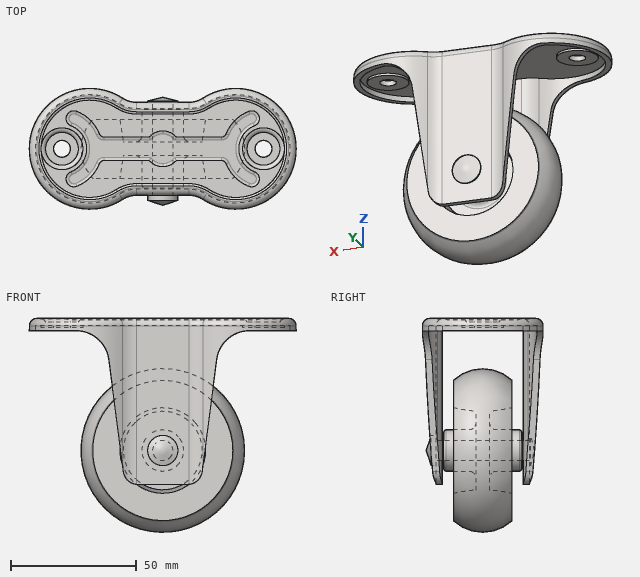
import cadquery as cq
import math

plate_top = 52.5
wheel_radius = 32.5

plate_length = 106.0
lobe_radius = 24.0
waist_half_width = 18.5
waist_blend = 10.0
sheet = 2.5
plate_thickness = 2.8
plate_edge_radius = 3.0
skirt_depth = 5.0
leg_depth = 66.0
leg_foot_half_width = 15.0
leg_taper = 7.4
leg_shoulder_radius = 13.0
leg_foot_radius = 6.0

panel_inset = 3.8
panel_wall_run = 0.9
panel_depth = 0.3

screw_x = 40.0
screw_hole_radius = 3.3
recess_floor_radius = 6.5
recess_rim_radius = 8.3
recess_depth = 1.2
dimple_depth = 3.7

groove_half_width = 4.65
groove_hub_radius = 7.1
groove_arm_inner = 9.8
groove_arm_outer = 16.0
groove_arm_angle = 68.5
groove_blend = 2.0
groove_wall_run = 1.2
groove_depth = 0.3

wheel_half_width = 11.7
tread_edge_radius = 28.1
tread_edge_chamfer = 0.3
hollow_rim_radius = 17.0
hollow_floor_radius = 15.6
hollow_depth = 9.0
hub_radius = 8.25
hub_half_width = 15.5
hub_edge_radius = 1.0
hub_root_radius = 2.7

axle_radius = 4.0
head_radius = 6.0
front_head_height = 2.0
front_cone_height = 2.0
back_head_height = 0.5
back_cone_height = 1.5

lobe_x = plate_length / 2 - lobe_radius
panel_floor = plate_top - panel_depth
plate_underside = plate_top - plate_thickness
leg_foot = plate_top - leg_depth
hollow_floor = wheel_half_width - hollow_depth


def dogbone(plane, inset):
    """Dogbone outline: two round lobes joined to a straight waist by concave arcs."""
    lobe = lobe_radius - inset
    waist = waist_half_width - inset
    blend = waist_blend + inset
    center_y = waist_half_width + waist_blend
    run = math.sqrt((lobe_radius + waist_blend) ** 2 - center_y ** 2)
    angle = math.atan2(center_y, run)
    center_x = lobe_x - run
    lobe_end_x = lobe_x - lobe * math.cos(angle)
    lobe_end_y = lobe * math.sin(angle)
    mid_angle = (angle + math.pi / 2) / 2
    mid_x = center_x + blend * math.cos(mid_angle)
    mid_y = center_y - blend * math.sin(mid_angle)
    tip = lobe_x + lobe
    return (
        plane.moveTo(-center_x, waist)
        .lineTo(center_x, waist)
        .threePointArc((mid_x, mid_y), (lobe_end_x, lobe_end_y))
        .threePointArc((tip, 0), (lobe_end_x, -lobe_end_y))
        .threePointArc((mid_x, -mid_y), (center_x, -waist))
        .lineTo(-center_x, -waist)
        .threePointArc((-mid_x, -mid_y), (-lobe_end_x, -lobe_end_y))
        .threePointArc((-tip, 0), (-lobe_end_x, lobe_end_y))
        .threePointArc((-mid_x, mid_y), (-center_x, waist))
        .close()
    )


def side_profile():
    """Plate and tapered legs as a prism along Y, with rounded shoulders and feet."""
    skirt_bottom = plate_top - skirt_depth
    shoulder_x = leg_foot_half_width + (skirt_bottom - leg_foot) * math.tan(math.radians(leg_taper))
    end_x = plate_length / 2
    right_side = [
        (end_x, plate_top),
        (end_x, skirt_bottom),
        (shoulder_x, skirt_bottom),
        (leg_foot_half_width, leg_foot),
    ]
    left_side = [(-x, z) for x, z in reversed(right_side)]
    prism = cq.Workplane("XZ").polyline(right_side + left_side).close().extrude(lobe_radius, both=True)
    for corner_x, corner_z, radius in (
        (shoulder_x, skirt_bottom, leg_shoulder_radius),
        (leg_foot_half_width, leg_foot, leg_foot_radius),
    ):
        for side in (-1, 1):
            corner = cq.selectors.NearestToPointSelector((side * corner_x, 0, corner_z))
            prism = prism.edges("|Y").edges(corner).fillet(radius)
    return prism


def panel_cutter():
    """Shallow dogbone panel with sloping walls."""
    rim = dogbone(cq.Workplane("XY", origin=(0, 0, plate_top)), panel_inset)
    floor = dogbone(rim.workplane(offset=-panel_depth), panel_inset + panel_wall_run)
    return floor.loft(ruled=True, combine=True)


def groove_quarter(plane, inset):
    """Quarter of the bone-shaped groove in the +X +Y quadrant."""
    half_width = groove_half_width - inset
    hub = groove_hub_radius - inset
    inner = groove_arm_inner + inset
    outer = groove_arm_outer - inset
    blend = groove_blend + inset
    tip_angle = math.radians(groove_arm_angle)
    tip_radius = (outer - inner) / 2
    tip_distance = (outer + inner) / 2

    blend_y = half_width + blend
    blend_angle = math.asin(blend_y / (outer + blend))
    blend_x = screw_x - (outer + blend) * math.cos(blend_angle)
    blend_mid = (math.pi / 2 + blend_angle) / 2

    def from_screw(radius, angle):
        return (screw_x - radius * math.cos(angle), radius * math.sin(angle))

    tip_x, tip_y = from_screw(tip_distance, tip_angle)
    tip_end = (tip_x + tip_radius * math.sin(tip_angle), tip_y + tip_radius * math.cos(tip_angle))
    hub_corner_angle = math.asin(half_width / hub)
    hub_mid = (hub_corner_angle + math.pi / 2) / 2
    return (
        plane.moveTo(0, 0)
        .lineTo(*from_screw(inner, 0))
        .threePointArc(from_screw(inner, tip_angle / 2), from_screw(inner, tip_angle))
        .threePointArc(tip_end, from_screw(outer, tip_angle))
        .threePointArc(from_screw(outer, (tip_angle + blend_angle) / 2), from_screw(outer, blend_angle))
        .threePointArc(
            (blend_x + blend * math.cos(blend_mid), blend_y - blend * math.sin(blend_mid)),
            (blend_x, half_width),
        )
        .lineTo(hub * math.cos(hub_corner_angle), half_width)
        .threePointArc((hub * math.cos(hub_mid), hub * math.sin(hub_mid)), (0, hub))
        .close()
    )


def groove_cutter():
    """Bone-shaped groove with sloping walls."""
    rim = groove_quarter(cq.Workplane("XY", origin=(0, 0, panel_floor)), 0)
    floor = groove_quarter(rim.workplane(offset=-groove_depth), groove_wall_run)
    quarter = floor.loft(ruled=True, combine=True)
    half = quarter.union(quarter.mirror("XZ"))
    return half.union(half.mirror("YZ"))


def screw_cutter():
    """Screw hole below a recess whose wall rolls down from the panel."""
    wall_run = recess_rim_radius - recess_floor_radius
    roll_radius = (wall_run ** 2 + recess_depth ** 2) / (2 * recess_depth)
    roll_angle = math.asin(wall_run / roll_radius) / 2
    roll_mid = (
        recess_rim_radius - roll_radius * math.sin(roll_angle),
        -roll_radius * (1 - math.cos(roll_angle)),
    )
    return (
        cq.Workplane("XZ", origin=(0, 0, panel_floor))
        .moveTo(0, 0)
        .lineTo(recess_rim_radius, 0)
        .threePointArc(roll_mid, (recess_floor_radius, -recess_depth))
        .lineTo(screw_hole_radius, -recess_depth)
        .lineTo(screw_hole_radius, -skirt_depth)
        .lineTo(0, -skirt_depth)
        .close()
        .revolve(360, (0, 0, 0), (0, 1, 0))
    )


def make_bracket():
    outer = dogbone(cq.Workplane("XY", origin=(0, 0, leg_foot)), 0).extrude(leg_depth)
    outer = outer.faces(">Z").edges().fillet(plate_edge_radius)
    cavity = dogbone(cq.Workplane("XY", origin=(0, 0, leg_foot)), sheet).extrude(plate_underside - leg_foot)
    for side in (-1, 1):
        dimple = (
            cq.Workplane("XY", origin=(side * screw_x, 0, plate_top - dimple_depth))
            .circle(recess_rim_radius)
            .extrude(dimple_depth)
        )
        cavity = cavity.cut(dimple)
    bracket = outer.cut(cavity).intersect(side_profile())
    bracket = bracket.cut(panel_cutter()).cut(groove_cutter())
    for side in (-1, 1):
        bracket = bracket.cut(screw_cutter().translate((side * screw_x, 0, 0)))
    return bracket.cut(axle)


def hub_root_fillet(side):
    """Concave ring between the hub and the floor of the hollow on one side."""
    root_top = hollow_floor + hub_root_radius
    return (
        cq.Workplane("XY")
        .moveTo(hub_radius, side * hollow_floor)
        .lineTo(hub_radius + hub_root_radius, side * hollow_floor)
        .radiusArc((hub_radius, side * root_top), side * hub_root_radius)
        .close()
        .revolve(360, (0, 0, 0), (0, 1, 0))
    )


def make_wheel():
    """Crowned wheel, hollowed on both sides around a projecting hub."""
    face_radius = tread_edge_radius - tread_edge_chamfer
    tread_end = wheel_half_width - tread_edge_chamfer
    right_side = [
        (tread_edge_radius, tread_end),
        (face_radius, wheel_half_width),
        (hollow_rim_radius, wheel_half_width),
        (hollow_floor_radius, hollow_floor),
        (hub_radius, hollow_floor),
        (hub_radius, hub_half_width),
        (axle_radius, hub_half_width),
    ]
    left_side = [(r, -y) for r, y in reversed(right_side)]
    wheel = (
        cq.Workplane("XY")
        .polyline(right_side + left_side)
        .threePointArc((wheel_radius, 0), right_side[0])
        .close()
        .revolve(360, (0, 0, 0), (0, 1, 0))
    )
    hub_edge = cq.selectors.RadiusNthSelector(1)
    for hub_face in ("<Y", ">Y"):
        wheel = wheel.faces(hub_face).edges(hub_edge).fillet(hub_edge_radius)
    for side in (-1, 1):
        wheel = wheel.union(hub_root_fillet(side))
    return wheel


def make_axle():
    """Riveted pin with a cylindrical head and a conical end on each side."""
    front_face = -waist_half_width
    front_rim = front_face - front_head_height
    back_face = waist_half_width
    back_rim = back_face + back_head_height
    return (
        cq.Workplane("XY")
        .polyline([
            (0, front_rim - front_cone_height),
            (head_radius, front_rim),
            (head_radius, front_face),
            (axle_radius, front_face),
            (axle_radius, back_face),
            (head_radius, back_face),
            (head_radius, back_rim),
            (0, back_rim + back_cone_height),
        ])
        .close()
        .revolve(360, (0, 0, 0), (0, 1, 0))
    )


axle = make_axle()
wheel = make_wheel()
bracket = make_bracket()

result = cq.Compound.makeCompound([bracket.val(), wheel.val(), axle.val()])